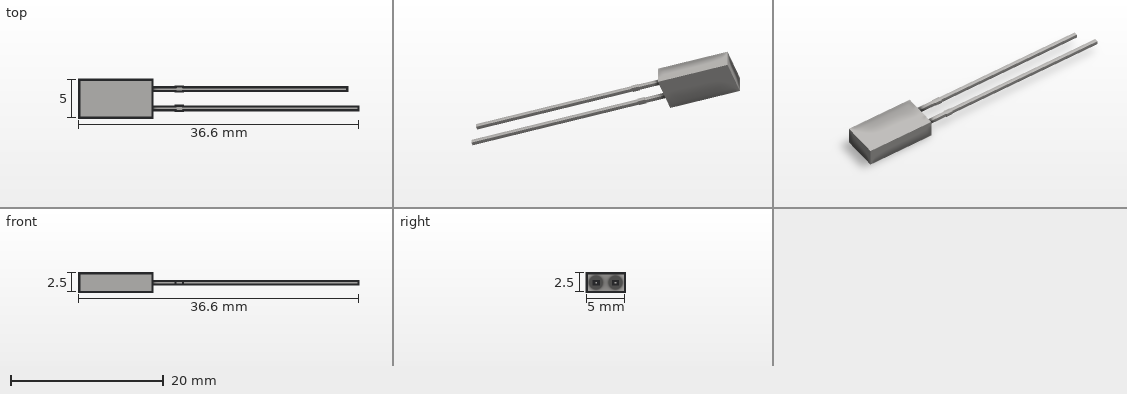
import cadquery as cq

total_length = 36.6

body_length = 9.63
body_width = 5.0
body_height = 2.5

lead_thickness = 0.5
lead_pitch = 2.53
long_lead_length = total_length - body_length
short_lead_setback = 1.5
short_lead_length = long_lead_length - short_lead_setback

stop_offset = 3.0
stop_length = 1.0
stop_width = 0.7


def bar(start_x, center_y, length, width, height):
    """Rectangular bar running along +X from start_x, centred on Z = 0."""
    return (
        cq.Workplane("XY")
        .box(length, width, height, centered=(False, True, True))
        .translate((start_x, center_y, 0))
    )


def lead(center_y, length):
    """Straight lead leaving the back of the body, with its widened stop."""
    wire = bar(body_length, center_y, length, lead_thickness, lead_thickness)
    stop = bar(body_length + stop_offset, center_y, stop_length, stop_width, lead_thickness)
    return wire.union(stop)


body = bar(0, 0, body_length, body_width, body_height)
long_lead = lead(-lead_pitch / 2, long_lead_length)
short_lead = lead(lead_pitch / 2, short_lead_length)

result = body.union(long_lead).union(short_lead)